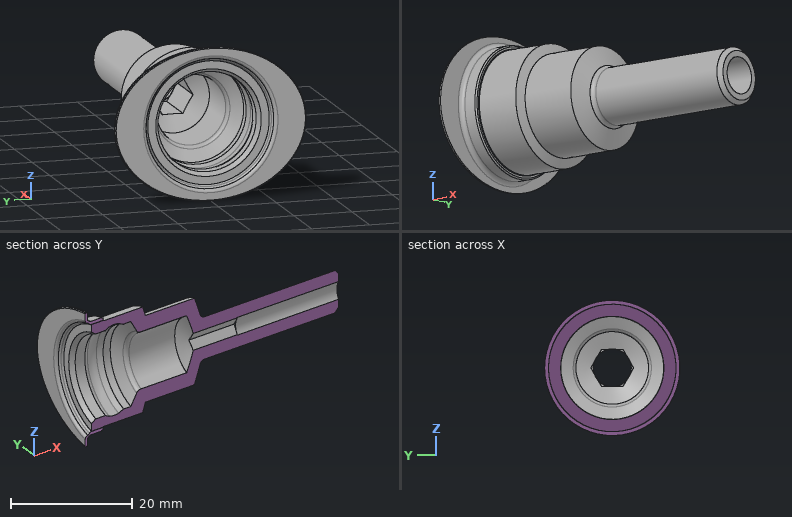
import cadquery as cq
import math

overall_length = 51.3
flange_width = 33.0
flange_height = 26.0
flange_thickness = 0.5
flange_edge_bevel = 0.15

collar_diameter = 22.4
collar_end = 3.7
collar_edge_bevel = 0.25
collar_root_radius = 0.75
collar_mouth_diameter = 23.2
collar_mouth_rounding = 0.55
collar_throat_diameter = 21.45
collar_throat_depth = 0.85
collar_rear_lip_diameter = 21.2
collar_rear_lip_end = 3.8

body_diameter = 21.0
body_start = 1.3
shoulder_start = 11.7
shoulder_end = 12.25
neck_diameter = 17.5
neck_end = 22.15
shank_diameter = 9.75
shank_cone_end = 23.4
shank_cone_diameter = 10.55
shank_root_radius = 1.0
shank_start = 24.3
shank_chamfer = 0.7

mouth_diameter = 18.2
mouth_cone_end = 2.15
groove_start = 4.1
groove_front_end = 4.85
groove_front_diameter = 17.75
groove_round_end = 6.75
groove_rear_diameter = 17.85
groove_round_radius = 3.1
groove_end = 7.8
seat_diameter = 17.0
seat_end = 9.25
seat_cone_end = 10.4
seat_cone_diameter = 12.95
bore_start = 11.3
bore_diameter = 12.0
bore_entry_radius = 1.05
bore_end = 20.5
bottom_cone_end = 22.15
bottom_cone_tip_diameter = 4.6
hex_across_flats = 6.1
hex_end = 30.8
hole_diameter = 6.2


def revolve_about_x(profile):
    """Turn a closed (x, radius) outline about the X axis."""
    return profile.close().revolve(360, (0, 0, 0), (1, 0, 0))


def make_flange():
    """Oval plate with a round collar that grips the front of the socket."""
    plate = cq.Workplane("YZ").ellipse(flange_width / 2, flange_height / 2).extrude(flange_thickness)
    plate = plate.faces("<X").edges().chamfer(flange_edge_bevel)
    collar_r = collar_diameter / 2
    root = collar_root_radius
    collar = revolve_about_x(
        cq.Workplane("XY").moveTo(0, 0).lineTo(0, collar_r + root)
        .lineTo(flange_thickness, collar_r + root)
        .radiusArc((flange_thickness + root, collar_r), -root)
        .lineTo(collar_end - collar_edge_bevel, collar_r)
        .lineTo(collar_end, collar_r - collar_edge_bevel)
        .lineTo(collar_end, collar_rear_lip_diameter / 2)
        .lineTo(collar_rear_lip_end, body_diameter / 2).lineTo(collar_rear_lip_end, 0)
    )
    bore_r = body_diameter / 2
    mouth_r = collar_mouth_diameter / 2
    rounding = collar_mouth_rounding
    bore = revolve_about_x(
        cq.Workplane("XY").moveTo(0, 0).lineTo(0, mouth_r)
        .radiusArc((rounding, mouth_r - rounding), -rounding)
        .lineTo(collar_throat_depth, collar_throat_diameter / 2)
        .lineTo(body_start, bore_r).lineTo(collar_rear_lip_end, bore_r).lineTo(collar_rear_lip_end, 0)
    )
    return plate.union(collar).cut(bore)


def make_socket():
    """Stepped socket and hollow shank, open from end to end."""
    outside = revolve_about_x(
        cq.Workplane("XY").moveTo(body_start, 0).lineTo(body_start, body_diameter / 2)
        .lineTo(shoulder_start, body_diameter / 2).lineTo(shoulder_end, neck_diameter / 2)
        .lineTo(neck_end, neck_diameter / 2).lineTo(shank_cone_end, shank_cone_diameter / 2)
        .radiusArc((shank_start, shank_diameter / 2), -shank_root_radius)
        .lineTo(overall_length - shank_chamfer, shank_diameter / 2)
        .lineTo(overall_length, shank_diameter / 2 - shank_chamfer).lineTo(overall_length, 0)
    )
    inside = revolve_about_x(
        cq.Workplane("XY").moveTo(body_start, 0).lineTo(body_start, mouth_diameter / 2)
        .lineTo(mouth_cone_end, seat_diameter / 2).lineTo(groove_start, seat_diameter / 2)
        .lineTo(groove_front_end, groove_front_diameter / 2)
        .radiusArc((groove_round_end, groove_rear_diameter / 2), groove_round_radius)
        .lineTo(groove_end, seat_diameter / 2).lineTo(seat_end, seat_diameter / 2)
        .lineTo(seat_cone_end, seat_cone_diameter / 2)
        .radiusArc((bore_start, bore_diameter / 2), -bore_entry_radius)
        .lineTo(bore_end, bore_diameter / 2)
        .lineTo(bottom_cone_end, bottom_cone_tip_diameter / 2).lineTo(bottom_cone_end, 0)
    )
    hexagon = (
        cq.Workplane("YZ").workplane(offset=bore_end)
        .polygon(6, hex_across_flats / math.cos(math.pi / 6)).extrude(hex_end - bore_end)
    )
    hole = (
        cq.Workplane("YZ").workplane(offset=hex_end)
        .circle(hole_diameter / 2).extrude(overall_length - hex_end)
    )
    return outside.cut(inside).cut(hexagon).cut(hole)


flange = make_flange()
socket = make_socket()
result = cq.Compound.makeCompound([flange.val(), socket.val()])